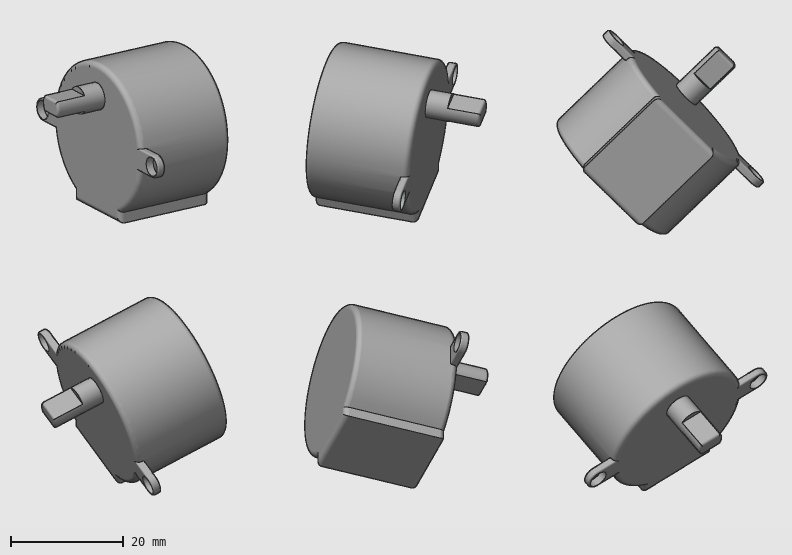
import cadquery as cq

overall_width = 39.2
body_diameter = 28.0
body_depth = 19.0
body_fillet = 0.98
base_width = 14.6

ear_hole_spacing = 35.0
ear_hole_diameter = 3.5
ear_thickness = 1.5
ear_fillet = 0.3

shaft_diameter = 5.0
shaft_length = 10.0
shaft_offset = 8.0
flat_length = 6.0
flat_thickness = 2.98
shaft_tip_fillet = 0.47

body_radius = body_diameter / 2
ear_height = overall_width - ear_hole_spacing


def front_plane(y=0.0):
    """Plane at the given y, with X and Z in-plane and its normal toward -Y."""
    return cq.Workplane("XZ", origin=(0, y, 0))


def make_body():
    """Round housing with a flat-bottomed base, rounded at both ends."""
    cylinder = front_plane().circle(body_radius).extrude(-body_depth)
    base = (
        front_plane()
        .center(0, -body_radius / 2)
        .rect(base_width, body_radius)
        .extrude(-body_depth)
    )
    return cylinder.union(base).clean().faces("<Y or >Y").edges().fillet(body_fillet)


def make_ears():
    """Thin bar with rounded ends, flush with the front face."""
    bar = front_plane().slot2D(overall_width, ear_height).extrude(-ear_thickness)
    return bar.faces("<Y or >Y").edges().fillet(ear_fillet)


def make_ear_holes():
    """Cutters for the mounting hole in each ear."""
    half_spacing = ear_hole_spacing / 2
    return (
        front_plane()
        .pushPoints([(-half_spacing, 0), (half_spacing, 0)])
        .circle(ear_hole_diameter / 2)
        .extrude(-ear_thickness)
    )


def make_shaft():
    """Offset output shaft with two flats and a rounded tip."""
    shaft = front_plane().center(0, shaft_offset).circle(shaft_diameter / 2).extrude(shaft_length)
    flat_start = shaft_length - flat_length
    flat_depth = (shaft_diameter - flat_thickness) / 2
    for side in (-1, 1):
        flat_center = shaft_offset + side * (flat_thickness + flat_depth) / 2
        cutter = (
            front_plane(-flat_start)
            .center(0, flat_center)
            .rect(shaft_diameter, flat_depth)
            .extrude(flat_length)
        )
        shaft = shaft.cut(cutter)
    return shaft.faces("<Y").edges().fillet(shaft_tip_fillet)


result = make_body().union(make_ears()).cut(make_ear_holes()).union(make_shaft())